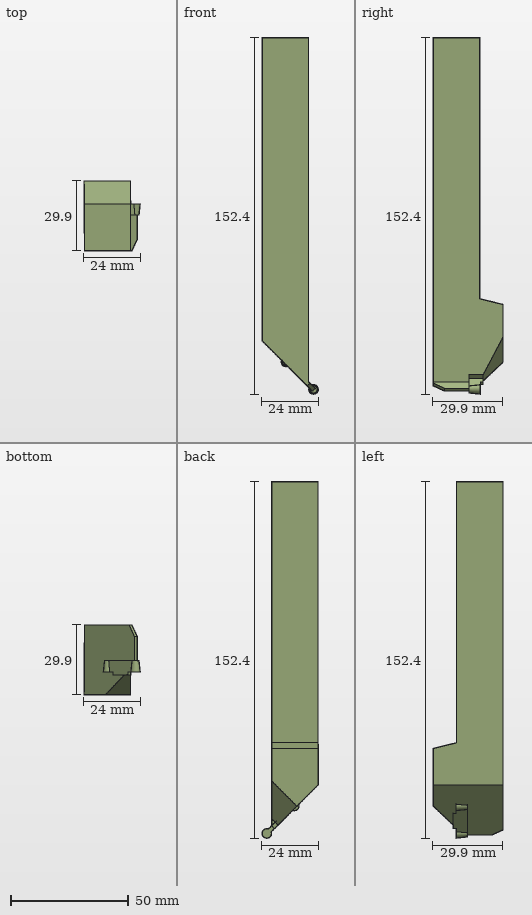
import cadquery as cq
import math

length = 152.4
shank = 20.0
head_depth = 29.9
head_top = 38.4
head_slope_top = 40.8
bevel_height = 22.9
side_lean = 0.2

tip_radius = 2.05
tip_base_radius = 1.5
tip_pitch = 16.6
tip_reach = 24.0
seat_y = 15.2
rake_y = 20.1
ridge_y = 21.3
ridge_gap = 1.7

head_cut_start = 13.0
clamp_end = 24.4
nose_end = 30.5
front_relief = 3.2
front_relief_depth = 4.9
relief_depth = 18.3

bevel_plane = cq.Plane(origin=(0, 0, bevel_height), xDir=(1, 0, -1), normal=(1, 0, 1))

tip_x = tip_reach - tip_radius
tip_z = tip_radius
lower_tip = (tip_x - tip_z + bevel_height) / math.sqrt(2)
upper_tip = lower_tip - tip_pitch
axis_depth = (tip_x + tip_z - bevel_height) / math.sqrt(2)
blade_width = 2 * axis_depth


def bevel_box(start, end, front, back):
    """Blade-wide bar on the insert axis, given by its stretch along the bevel and in Y."""
    return (
        cq.Workplane(bevel_plane)
        .moveTo((start + end) / 2, (front + back) / 2)
        .rect(end - start, back - front)
        .extrude(blade_width)
    )


def cutting_head(along):
    """Round head, tapering from its rake face to the seat."""
    base = bevel_plane.toWorldCoords((along, seat_y, axis_depth))
    seat = cq.Plane(origin=base.toTuple(), xDir=(1, 0, 0), normal=(0, 1, 0))
    return (
        cq.Workplane(seat)
        .circle(tip_base_radius)
        .workplane(offset=rake_y - seat_y)
        .circle(tip_radius)
        .loft(ruled=True)
    )


def build_insert():
    """Double-ended insert with a raised ridge between its heads."""
    bar = bevel_box(upper_tip, lower_tip, seat_y, rake_y)
    ridge_inset = tip_radius + ridge_gap
    ridge = bevel_box(upper_tip + ridge_inset, lower_tip - ridge_inset, seat_y, ridge_y)
    body = bar.union(ridge)
    for along in (upper_tip, lower_tip):
        body = body.union(cutting_head(along))
    return body


def side_outline():
    """Shank and head in the YZ plane, as deep in X as the whole part."""
    return (
        cq.Workplane("YZ")
        .polyline([
            (0, 0),
            (head_depth, 0),
            (head_depth, head_top),
            (shank, head_slope_top),
            (shank, length),
            (0, length),
        ])
        .close()
        .extrude(tip_reach)
    )


def bevelled_bar():
    """Shank width in the XZ plane, cut off by the bevel."""
    return (
        cq.Workplane("XZ")
        .polyline([
            (0, bevel_height),
            (shank, bevel_height - shank),
            (shank, length),
            (0, length),
        ])
        .close()
        .extrude(-head_depth)
    )


def nose_relief():
    """Material beyond the relieved nose, clamp and head, removed square to the bevel."""
    beyond = nose_end + shank
    return (
        cq.Workplane(bevel_plane)
        .polyline([
            (nose_end - front_relief, 0),
            (nose_end, front_relief_depth),
            (nose_end, seat_y),
            (clamp_end, seat_y),
            (clamp_end, ridge_y),
            (head_cut_start, head_depth),
            (beyond, head_depth),
            (beyond, 0),
        ])
        .close()
        .extrude(relief_depth)
    )


def side_lean_wedge():
    """Thin wedge that leans the left face in towards the front."""
    return (
        cq.Workplane("XY")
        .polyline([(0, 0), (side_lean, 0), (0, head_depth)])
        .close()
        .extrude(length)
    )


def build_holder(insert):
    """Shank, head and blade, with a pocket that fits the insert."""
    blade = bevel_box(clamp_end, nose_end, 0, seat_y)
    body = bevelled_bar().intersect(side_outline()).union(blade)
    return body.cut(nose_relief()).cut(side_lean_wedge()).cut(insert)


insert = build_insert()
holder = build_holder(insert)

result = cq.Compound.makeCompound([holder.val(), insert.val()])